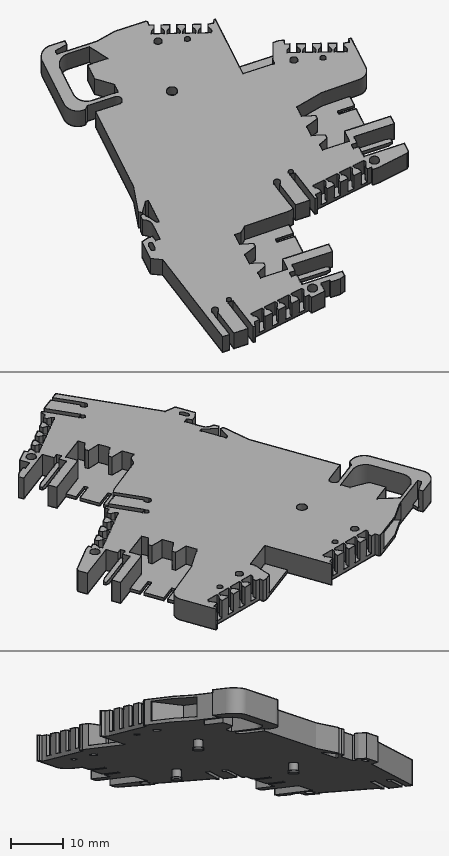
import cadquery as cq
import math

PLATE = 5.0
PEG_LENGTH = 1.9
FLOOR = 0.7
ROOF = 0.5
LENGTH = 77.1
WIDTH = 57.0
OVERRUN = 0.8

UPPER = (0, 0)
LOWER_LEFT = (-13.95, -22.4)
LOWER_RIGHT = (24.0, -22.5)

BASE_Y = 4.9
STEP_Y = 34.5
LEDGE_Y = 52.7
LOWER_TOP = 34.45
LOWER_LEDGE_Y = 30.4
LEG_LEFT = 40.15

GRIP_COUNT = 4
GRIP_PITCH = 3.0
GRIP_FLOOR = 0.85
LEFT_GRIP_TOP, LEFT_GRIP_END = (20.6, 55.35), (16.5, 44.6)
RIGHT_GRIP_TOP, RIGHT_GRIP_END = (50.2, 48.2), (52.2, 36.5)


def shifted(points, shift):
    return [(x + shift[0], y + shift[1]) for x, y in points]


def prism(points, bottom=0.0, top=PLATE):
    return cq.Workplane("XY").workplane(offset=bottom).polyline(points).close().extrude(top - bottom)


def box(x0, x1, y0, y1, bottom=0.0, top=PLATE):
    return prism([(x0, y0), (x1, y0), (x1, y1), (x0, y1)], bottom, top)


def cylinder(center, diameter, bottom=0.0, top=PLATE):
    plane = cq.Workplane("XY").workplane(offset=bottom)
    return plane.center(*center).circle(diameter / 2).extrude(top - bottom)


def round_edge(solid, corner, radius):
    """Round the upright edge standing at a corner."""
    picker = cq.selectors.NearestToPointSelector((corner[0], corner[1], PLATE / 2))
    return solid.edges("|Z").edges(picker).fillet(radius)


def plate():
    clip_root = (46.2, BASE_Y)
    shoulder = (29.7, WIDTH)
    hook_left, hook_right = (0, 0), (16.7, 0)
    hook_radius, clip_root_radius, shoulder_radius = 2.85, 1.9, 2.3
    underside = [
        hook_left, hook_right, (16.7, 3.3), (16.0, 4.0), (16.0, BASE_Y), (37.3, BASE_Y),
        (43.2, 3.55), (45.3, 3.55), clip_root,
        (50.9, BASE_Y), (50.9, 4.0), (49.7, 3.85), (49.7, 2.9), (50.2, 1.5), (54.5, 1.5), (55.65, 3.55),
    ]
    lower_right = [
        (LENGTH, 7.25), (LENGTH, 14.0), (76.1, 14.25), (74, 26.35), (74.8, 26.6), (74.3, 29.5), (72.2, 29.5),
        (72.2, 31.4), (72.7, 31.4), (72.7, 33.4), (72.3, LOWER_TOP),
    ]
    lower_leg_left = LEG_LEFT + LOWER_RIGHT[0]
    lower_ledge = [(lower_leg_left, LOWER_TOP), (lower_leg_left, LOWER_LEDGE_Y), (53.95, LOWER_LEDGE_Y)]
    upper_right = [
        (53.65, 31.5), (53.0, 31.4), (53.0, 36.6), RIGHT_GRIP_END, (50.1, 48.95), (50.7, 48.95), (50.7, 50.1),
        (49.6, 56.6), (49.2, WIDTH),
    ]
    upper_ledge = [(LEG_LEFT, WIDTH), (LEG_LEFT, LEDGE_Y), (29.8, LEDGE_Y), shoulder]
    upper_left = [
        (20.0, WIDTH), (20.0, 56.4), (20.7, 56.35), LEFT_GRIP_TOP, LEFT_GRIP_END, (15.65, 44.85), (15.35, 44.0),
    ]
    lower_left = [
        (15.35, STEP_Y), (6.0, STEP_Y), (6.0, 34.2), (6.7, 33.8), (6.6, 32.9), (2.55, 22.2), (1.7, 22.3),
        (1.5, 22.0), (1.5, 15.6), (2.4, 11.5),
    ]
    hook = [(2.4, 5.4), (1.2, 5.85), (0, 5.85)]
    right_half = underside + lower_right + lower_ledge + upper_right
    left_half = upper_ledge + upper_left + lower_left + hook
    body = prism(right_half + left_half)
    body = round_edge(body, hook_left, hook_radius)
    body = round_edge(body, hook_right, hook_radius)
    body = round_edge(body, clip_root, clip_root_radius)
    return round_edge(body, shoulder, shoulder_radius)


def foot_cuts():
    opening_radius = 2.8
    opening_corners = [(3.1, 2.55), (15.2, 2.55)]
    opening = prism([
        opening_corners[0], opening_corners[1], (15.2, 10.7), (13.25, 10.7),
        (10.55, 7.7), (7.0, 7.7), (7.0, 11.9), (3.1, 9.6),
    ])
    for corner in opening_corners:
        opening = round_edge(opening, corner, opening_radius)

    spring_left, spring_right, spring_end = 16.0, 17.95, 10.7
    width = spring_right - spring_left
    round_y = spring_end - width / 2
    spring_slot = box(spring_left, spring_right, BASE_Y, round_y)
    spring_slot = spring_slot.union(cylinder(((spring_left + spring_right) / 2, round_y), width))

    hook_pocket = prism([(0.9, 5.9), (1.55, 3.2), (2.4, 3.2), (2.4, 5.9)], FLOOR)
    clip_gap = prism([
        (41.5, 6.3), (46.95, 6.3), (46.95, 5.85), (44.0, 4.2),
        (44.3, 3.5), (43.3, 3.5), (43.7, 4.2), (41.5, 5.7),
    ])
    eye_length, eye_width = 2.0, 0.9
    foot_eye = cq.Workplane("XY").center(51.95, 2.8).slot2D(eye_length, eye_width).extrude(PLATE)
    return [opening, spring_slot, hook_pocket, clip_gap, foot_eye]


def niche_cuts():
    open_niche = prism([(15.3, 42.7), (19.1, 41.1), (20.1, 41.1), (20.1, STEP_Y), (15.3, STEP_Y)], FLOOR)
    side_window = prism(
        [(0.8, 20.5), (1.9, 20.5), (8.1, 17.2), (8.1, 14.2), (2.4, 10.7), (0.8, 10.7)], FLOOR, PLATE - ROOF)
    return [open_niche, side_window]


def grip_row(start, end, inward_side, shift):
    """Dovetail pockets stepping along an edge; inward_side is +1 or -1, left or right of the walk."""
    length = math.dist(start, end)
    along = ((end[0] - start[0]) / length, (end[1] - start[1]) / length)
    inward = (-along[1] * inward_side, along[0] * inward_side)
    pocket = [
        (0.15, -0.3), (0.15, 0.9), (-0.2, 1.4), (-0.55, 2), (-0.4, 2.7),
        (2.1, 2.7), (2.0, 1.9), (1.5, 1), (1.5, -0.3),
    ]
    origin = shifted([start], shift)[0]
    cuts = []
    for index in range(GRIP_COUNT):
        corners = [
            (
                origin[0] + (distance + index * GRIP_PITCH) * along[0] + depth * inward[0],
                origin[1] + (distance + index * GRIP_PITCH) * along[1] + depth * inward[1],
            )
            for distance, depth in pocket
        ]
        cuts.append(prism(corners, GRIP_FLOOR))
    return cuts


def grip_cuts():
    cuts = []
    for shift in (UPPER, LOWER_LEFT):
        cuts += grip_row(LEFT_GRIP_TOP, LEFT_GRIP_END, 0.8, shift)
    for shift in (UPPER, LOWER_RIGHT):
        cuts += grip_row(RIGHT_GRIP_TOP, RIGHT_GRIP_END, -0.8, shift)
    return cuts


PIN_X = 44.2
PIN_SIZE = 1.0
PIN_BOTTOM = 2.1
GAP_LEFT, GAP_RIGHT, GAP_Y = 42.1, 47.2, 48.55
PIN_ROOT_Y = 47.4


def arch(start, end):
    """Tongue of full-height plate rising between two points of the bay's lower edge."""
    top, half_crown = 43.7, 0.4
    foot_slant, foot_height = 0.15, 0.55
    middle = (start[0] + end[0]) / 2
    return [
        start, (start[0] + foot_slant, start[1] + foot_height), (middle - half_crown, top),
        (middle + half_crown, top), (end[0] - foot_slant, end[1] + foot_height), end,
    ]


def connector_recess(left_edge, shift):
    """Thin-floored bay; left_edge runs from the ledge down to its first bottom corner."""
    bottom, right_bottom, right = 41.1, 41.8, 42.8
    right_side = [(right, right_bottom), (right, PIN_ROOT_Y), (LEG_LEFT, PIN_ROOT_Y), (LEG_LEFT, WIDTH)]
    lower_edge = arch((33.75, bottom), (36.4, bottom)) + arch((38.8, bottom), (41.3, right_bottom))
    closing_corner = (left_edge[0][0], WIDTH + shift[1])
    return prism(left_edge + shifted(lower_edge + right_side, shift) + [closing_corner], FLOOR)


def bay_cuts(shift):
    dx, dy = shift
    cuts = [box(GAP_LEFT + dx, GAP_RIGHT + dx, GAP_Y + dy, WIDTH + OVERRUN + dy)]
    half = PIN_SIZE / 2
    cuts.append(box(PIN_X - half + dx, PIN_X + half + dx, PIN_ROOT_Y + dy, GAP_Y + dy, PIN_BOTTOM))
    slot_bottom, slot_width = 49.2, 0.8
    for slot_left in (32.2, 37.2):
        left = slot_left + dx
        cuts.append(box(left, left + slot_width, slot_bottom + dy, WIDTH + dy))
    return cuts


def pin(shift):
    """Square contact pin with a tapered tip and a sloped collar at its root."""
    tip_y, taper, tip_size = 55.6, 0.9, 0.6
    dx, dy = shift
    half = PIN_SIZE / 2
    x = PIN_X + dx
    center_z = PIN_BOTTOM + half
    shank = box(x - half, x + half, PIN_ROOT_Y + dy, tip_y - taper + dy, PIN_BOTTOM, PIN_BOTTOM + PIN_SIZE)
    tip = (
        cq.Workplane("XZ", origin=(x, tip_y - taper + dy, center_z))
        .rect(PIN_SIZE, PIN_SIZE).workplane(offset=-taper).rect(tip_size, tip_size).loft()
    )
    collar_length, collar_half_width = 1.0, 1.3
    collar_peak, collar_base = 0.5, -1.5
    collar = (
        cq.Workplane("XZ", origin=(x, GAP_Y + dy, center_z))
        .polyline([(-collar_half_width, collar_base), (0, collar_peak), (collar_half_width, collar_base)])
        .close().extrude(-collar_length)
    )
    return shank.union(tip).union(collar)


def slit_cuts(shift):
    upper_slit = [(45.9, 33.75), (45.9, 34.85), (53.95, 36.2), (53.95, 35.2), (52.4, 34.9)]
    lower_slit = [(46.7, 30.1), (48.1, 30.3), (54.35, 31.45), (54.35, 32.3), (47.2, 31.1)]
    upper_eye_center, lower_eye_center = shifted([(45.3, 34.2), (46.6, 30.8)], shift)
    upper_eye_diameter, lower_eye_diameter = 1.0, 1.4
    upper_eye = cylinder(upper_eye_center, upper_eye_diameter, FLOOR)
    lower_eye = cylinder(lower_eye_center, lower_eye_diameter)
    return [prism(shifted(upper_slit, shift)), prism(shifted(lower_slit, shift)), upper_eye, lower_eye]


def hole_cuts():
    small_hole, medium_hole, large_hole = 1.15, 1.55, 1.9
    cuts = []
    for shift in (UPPER, LOWER_LEFT):
        small_center, medium_center = shifted([(22.35, 50.2), (20.7, 44.8)], shift)
        cuts.append(cylinder(small_center, small_hole))
        cuts.append(cylinder(medium_center, medium_hole))
    for shift in (UPPER, LOWER_RIGHT):
        large_center = shifted([(48.8, 50.1)], shift)[0]
        cuts.append(cylinder(large_center, large_hole))
    return cuts


PEGS = [(18.9, 20.35), (41.15, 38.5), (47.2, 15.95)]


def pegs():
    shaft, flange, flange_thickness = 1.85, 2.15, 0.4
    embed = 0.1
    parts = []
    for center in PEGS:
        parts.append(cylinder(center, shaft, -PEG_LENGTH, embed))
        parts.append(cylinder(center, flange, -PEG_LENGTH, flange_thickness - PEG_LENGTH))
    return parts


def peg_socket():
    """Blind hole in the top face above the first peg."""
    socket_diameter = 2.1
    return cylinder(PEGS[0], socket_diameter, PLATE / 2)


UPPER_RECESS_EDGE = [(29.8, LEDGE_Y), (30.0, 46.9), (31.4, 41.1)]
LOWER_RECESS_EDGE = [(53.95, LOWER_LEDGE_Y), (54.1, 21.1), (55.3, 19.9), (55.3, 18.6)]

cuts = foot_cuts() + niche_cuts() + grip_cuts() + hole_cuts()
cuts.append(peg_socket())
cuts.append(connector_recess(UPPER_RECESS_EDGE, UPPER))
cuts.append(connector_recess(LOWER_RECESS_EDGE, LOWER_RIGHT))
for level in (UPPER, LOWER_RIGHT):
    cuts += bay_cuts(level)
    cuts += slit_cuts(level)

result = plate()
for cut in cuts:
    result = result.cut(cut)
for level in (UPPER, LOWER_RIGHT):
    result = result.union(pin(level))
for peg in pegs():
    result = result.union(peg)